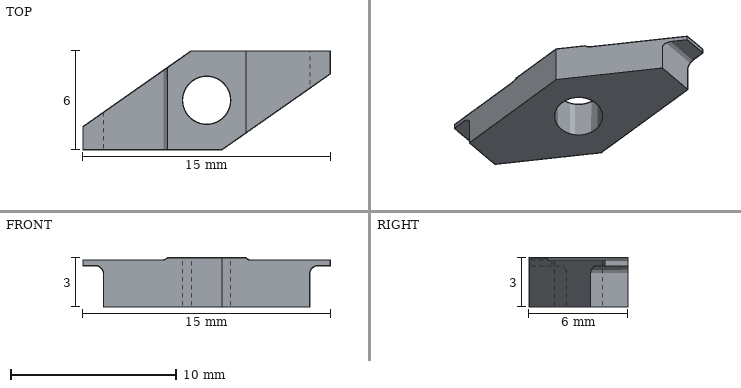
import cadquery as cq
import math

length = 15.0
width = 6.0
height = 3.0

tip_width = 1.4
flank_angle = 35.0

body_length = 12.5
lip_thickness = 0.35
lip_fillet = 0.5
plateau_length = 4.75
step_height = 0.15
step_radius = 0.4

hole_diameter = 2.9

half_length = length / 2
half_width = width / 2
half_body = body_length / 2
half_plateau = plateau_length / 2
lip_top = height - step_height
lip_bottom = lip_top - lip_thickness


def plan_prism():
    """Full-height prism on the six-sided plan, the same after half a turn about Z."""
    flank_run = (width - tip_width) / math.tan(math.radians(flank_angle))
    flank_end_x = half_length - flank_run
    half_outline = [
        (-half_length, -half_width),
        (flank_end_x, -half_width),
        (half_length, half_width - tip_width),
    ]
    opposite_half = [(-x, -y) for x, y in half_outline]
    return cq.Workplane("XY").polyline(half_outline + opposite_half).close().extrude(height)


def half_side_profile():
    """The +X half of the side profile, extruded across the width."""
    step_run = math.sqrt(step_radius**2 - (step_radius - step_height) ** 2)
    step_foot_x = half_plateau + step_run
    step_centre_z = lip_top + step_radius
    step_mid_angle = math.asin(step_run / step_radius) / 2
    step_mid = (
        step_foot_x - step_radius * math.sin(step_mid_angle),
        step_centre_z - step_radius * math.cos(step_mid_angle),
    )
    fillet_centre_x = half_body + lip_fillet
    fillet_centre_z = lip_bottom - lip_fillet
    fillet_reach = lip_fillet * math.sqrt(0.5)
    fillet_mid = (fillet_centre_x - fillet_reach, fillet_centre_z + fillet_reach)
    return (
        cq.Workplane("XZ")
        .moveTo(0, 0)
        .lineTo(0, height)
        .lineTo(half_plateau, height)
        .threePointArc(step_mid, (step_foot_x, lip_top))
        .lineTo(half_length, lip_top)
        .lineTo(half_length, lip_bottom)
        .lineTo(fillet_centre_x, lip_bottom)
        .threePointArc(fillet_mid, (half_body, fillet_centre_z))
        .lineTo(half_body, 0)
        .close()
        .extrude(half_width, both=True)
    )


def clamp_hole():
    """Through hole for the clamping screw, at the centre."""
    return cq.Workplane("XY").circle(hole_diameter / 2).extrude(height)


right_half = half_side_profile()
side_profile = right_half.union(right_half.mirror("YZ"))

result = plan_prism().intersect(side_profile).cut(clamp_hole()).clean()